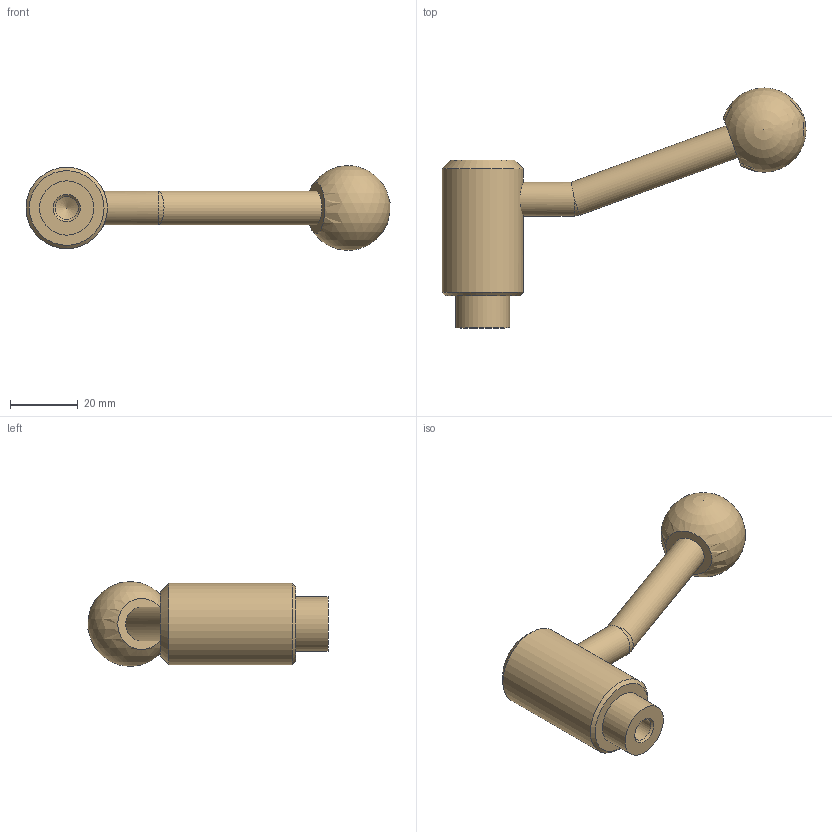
import cadquery as cq
import math

stud_diameter = 16.0
stud_length = 9.5
hub_diameter = 24.0
hub_length = 40.0
top_chamfer = 2.5
bottom_chamfer = 1.0

bore_diameter = 6.8
lead_in_diameter = 8.0
bore_depth = 15.0
drill_tip_angle = 120.0

rod_diameter = 10.0
bend_angle = 20.0
rod_y = 38.0

ball_diameter = 25.0
ball_flat_diameter = 15.0
ball_x = 82.92
ball_y = 58.36

hub_radius = hub_diameter / 2
hub_top = stud_length + hub_length


def make_hub():
    """Turned body with the reduced stud below it and a chamfer at each end."""
    stud_radius = stud_diameter / 2
    profile = (
        cq.Workplane("XY")
        .moveTo(0, 0)
        .lineTo(stud_radius, 0)
        .lineTo(stud_radius, stud_length)
        .lineTo(hub_radius - bottom_chamfer, stud_length)
        .lineTo(hub_radius, stud_length + bottom_chamfer)
        .lineTo(hub_radius, hub_top - top_chamfer)
        .lineTo(hub_radius - top_chamfer, hub_top)
        .lineTo(0, hub_top)
        .close()
    )
    return profile.revolve(360, (0, 0, 0), (0, 1, 0))


def make_bore():
    """Blind hole along the hub axis, opened by a 45 degree lead-in."""
    bore_radius = bore_diameter / 2
    lead_in_radius = lead_in_diameter / 2
    tip_length = bore_radius / math.tan(math.radians(drill_tip_angle / 2))
    profile = (
        cq.Workplane("XY")
        .moveTo(0, 0)
        .lineTo(lead_in_radius, 0)
        .lineTo(bore_radius, lead_in_radius - bore_radius)
        .lineTo(bore_radius, bore_depth)
        .lineTo(0, bore_depth + tip_length)
        .close()
    )
    return profile.revolve(360, (0, 0, 0), (0, 1, 0))


def make_rod():
    """Inner leg square to the hub, a spherical elbow, and an outer leg into the ball centre."""
    rod_radius = rod_diameter / 2
    angle = math.radians(bend_angle)
    elbow_x = ball_x - (ball_y - rod_y) / math.tan(angle)
    outer_leg_length = math.hypot(ball_x - elbow_x, ball_y - rod_y)
    outer_direction = cq.Vector(math.cos(angle), math.sin(angle), 0)
    hub_point = cq.Vector(0, rod_y, 0)
    elbow_point = cq.Vector(elbow_x, rod_y, 0)

    inner_leg = cq.Solid.makeCylinder(rod_radius, elbow_x, hub_point, cq.Vector(1, 0, 0))
    outer_leg = cq.Solid.makeCylinder(rod_radius, outer_leg_length, elbow_point, outer_direction)
    elbow = cq.Workplane("XY").sphere(rod_radius).translate(elbow_point)
    return elbow.union(cq.Workplane(inner_leg)).union(cq.Workplane(outer_leg))


def make_ball():
    """Ball whose flat is square to the outer leg of the rod."""
    ball_radius = ball_diameter / 2
    flat_distance = math.sqrt(ball_radius**2 - (ball_flat_diameter / 2) ** 2)
    keep_length = flat_distance + ball_radius
    keep_center_x = (ball_radius - flat_distance) / 2
    keep_box = cq.Workplane("XY").box(keep_length, ball_diameter, ball_diameter)
    keep_box = keep_box.translate((keep_center_x, 0, 0))
    ball = cq.Workplane("XY").sphere(ball_radius).intersect(keep_box)
    return ball.rotate((0, 0, 0), (0, 0, 1), bend_angle).translate((ball_x, ball_y, 0))


result = make_hub().union(make_rod()).union(make_ball()).cut(make_bore())